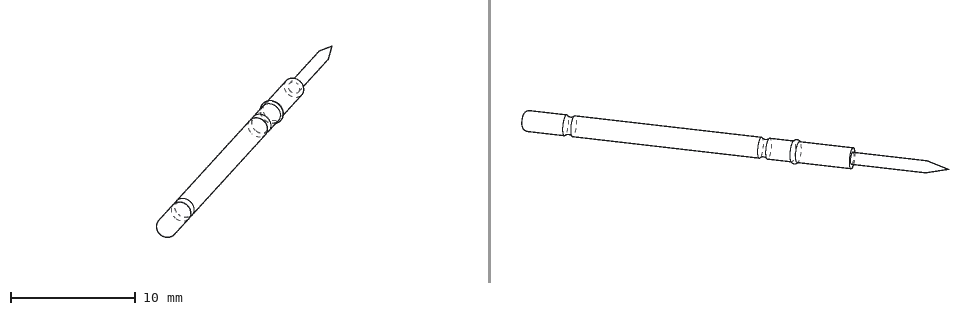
import cadquery as cq
import math

total_length = 35.4
tip_y = total_length / 2
tail_y = -total_length / 2

plunger_radius = 0.5
barrel_radius = 0.85
collar_radius = 1.0
groove_radius = 0.7

cone_length = 1.88
plunger_length = 8.05
collar_from_tip = 12.75
collar_width = 0.45
groove_width = 0.67
groove_centres_from_tip = (15.33, 31.55)
tail_round = 0.45

full_turn = 360


def pin_body():
    """Revolved pin: conical tip, plunger, and barrel with a rounded tail."""
    plunger_end_y = tip_y - plunger_length
    tail_face_radius = barrel_radius - tail_round
    tail_mid = tail_round * math.sqrt(0.5)
    return (
        cq.Workplane("XY")
        .moveTo(0, tip_y)
        .lineTo(plunger_radius, tip_y - cone_length)
        .lineTo(plunger_radius, plunger_end_y)
        .lineTo(barrel_radius, plunger_end_y)
        .lineTo(barrel_radius, tail_y + tail_round)
        .threePointArc(
            (tail_face_radius + tail_mid, tail_y + tail_round - tail_mid),
            (tail_face_radius, tail_y),
        )
        .lineTo(0, tail_y)
        .close()
        .revolve(full_turn, (0, 0), (0, 1))
    )


def collar():
    """Ring around the barrel with a rounded outer edge."""
    centre_y = tip_y - collar_from_tip
    half_width = collar_width / 2
    return (
        cq.Workplane("XY")
        .moveTo(0, centre_y - half_width)
        .lineTo(barrel_radius, centre_y - half_width)
        .threePointArc((collar_radius, centre_y), (barrel_radius, centre_y + half_width))
        .lineTo(0, centre_y + half_width)
        .close()
        .revolve(full_turn, (0, 0), (0, 1))
    )


def groove_cutter(centre_y):
    """Ring with a rounded inner side, cutting a concave groove around the barrel."""
    half_width = groove_width / 2
    return (
        cq.Workplane("XY")
        .moveTo(barrel_radius, centre_y - half_width)
        .threePointArc((groove_radius, centre_y), (barrel_radius, centre_y + half_width))
        .close()
        .revolve(full_turn, (0, 0), (0, 1))
    )


result = pin_body().union(collar())
for from_tip in groove_centres_from_tip:
    result = result.cut(groove_cutter(tip_y - from_tip))